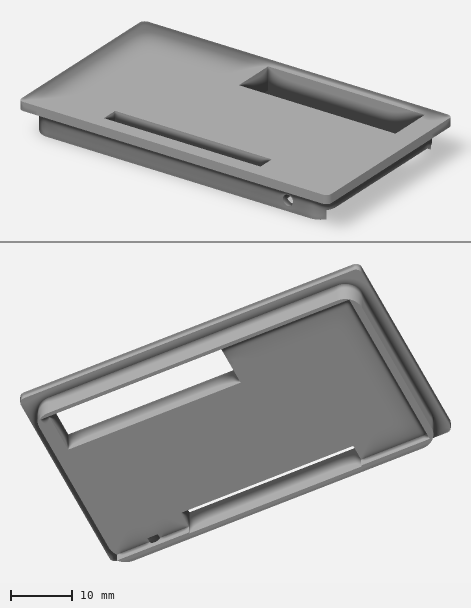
import cadquery as cq

PLATE_LENGTH = 60.9
PLATE_WIDTH = 35.4
PLATE_THICKNESS = 1.65
PLATE_CORNER_RADIUS = 1.0
TOTAL_HEIGHT = 5.95

BODY_INSET = 1.6
BODY_LENGTH = PLATE_LENGTH - 2 * BODY_INSET
BODY_WIDTH = PLATE_WIDTH - 2 * BODY_INSET
BODY_HEIGHT = TOTAL_HEIGHT - PLATE_THICKNESS
BODY_CORNER_RADIUS = 3.0

WINDOW_LENGTH = 30.8
LARGE_WINDOW_WIDTH = 8.3
LARGE_WINDOW_CENTER = (11.1, 11.3)
SLOT_WIDTH = 3.2
SLOT_CENTER = (0.0, -13.5)

RECESS_WALL = 1.2
RECESS_DEPTH = 1.65
RECESS_LEFT = -BODY_LENGTH / 2 + RECESS_WALL
RECESS_RIGHT = BODY_LENGTH / 2
RECESS_FRONT = -BODY_WIDTH / 2 + RECESS_WALL
RECESS_BACK = LARGE_WINDOW_CENTER[1] + LARGE_WINDOW_WIDTH / 2

SIDE_HOLE_DIAMETER = 2.0
SIDE_HOLE_DEPTH = 2.0
SIDE_HOLE_X = 21.5
SIDE_HOLE_Z = 2.0


def rounded_block(length, width, height, corner_radius, base_z):
    """Centred block with rounded vertical edges, standing on base_z."""
    block = cq.Workplane("XY", origin=(0, 0, base_z)).rect(length, width).extrude(height)
    return block.edges("|Z").fillet(corner_radius)


def window_cutter(width, center):
    """Rectangular cutter through the full height."""
    return cq.Workplane("XY").center(*center).rect(WINDOW_LENGTH, width).extrude(TOTAL_HEIGHT)


def recess_cutter():
    """Flat box rising from the underside to the recess ceiling."""
    length = RECESS_RIGHT - RECESS_LEFT
    width = RECESS_BACK - RECESS_FRONT
    corner = (RECESS_LEFT, RECESS_FRONT, 0)
    return cq.Workplane("XY", origin=corner).box(length, width, RECESS_DEPTH, centered=False)


def side_hole_cutter():
    """Cylinder running inward (+Y) from the front face of the body."""
    start = cq.Vector(SIDE_HOLE_X, -BODY_WIDTH / 2, SIDE_HOLE_Z)
    inward = cq.Vector(0, 1, 0)
    return cq.Solid.makeCylinder(SIDE_HOLE_DIAMETER / 2, SIDE_HOLE_DEPTH, start, inward)


plate = rounded_block(PLATE_LENGTH, PLATE_WIDTH, PLATE_THICKNESS, PLATE_CORNER_RADIUS, BODY_HEIGHT)
body = rounded_block(BODY_LENGTH, BODY_WIDTH, BODY_HEIGHT, BODY_CORNER_RADIUS, 0)

result = (
    plate.union(body)
    .cut(window_cutter(LARGE_WINDOW_WIDTH, LARGE_WINDOW_CENTER))
    .cut(window_cutter(SLOT_WIDTH, SLOT_CENTER))
    .cut(recess_cutter())
    .cut(side_hole_cutter())
)